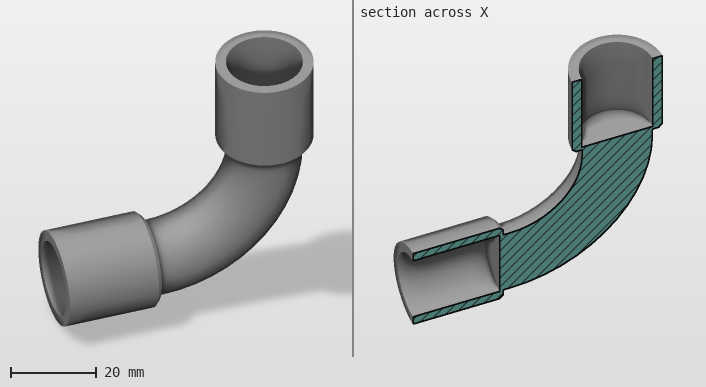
import cadquery as cq

overall_length = 63.3
socket_diameter = 23.0
pipe_diameter = 18.0
socket_length = 23.0
chamfer_size = 1.0
bend_radius = 27.0

bore_depth = socket_length - chamfer_size
mouth_distance = overall_length - socket_diameter / 2
socket_start = mouth_distance - socket_length
stub_length = socket_start - bend_radius


def make_bend():
    """Solid quarter bend joining the -Y leg to the +Z leg."""
    return (
        cq.Workplane("XZ", origin=(0, -bend_radius, 0))
        .circle(pipe_diameter / 2)
        .revolve(90, (-0.65, bend_radius, 0), (0.65, bend_radius, 0))
    )


def make_leg(plane):
    """Short pipe stub and bored socket, running out along the plane normal."""
    stub = (
        cq.Workplane(plane)
        .workplane(offset=bend_radius)
        .circle(pipe_diameter / 2)
        .extrude(stub_length)
    )
    socket = (
        cq.Workplane(plane)
        .workplane(offset=socket_start)
        .circle(socket_diameter / 2)
        .extrude(socket_length)
        .faces(cq.selectors.DirectionMinMaxSelector(cq.Plane.named(plane).zDir, False))
        .chamfer(chamfer_size)
    )
    bore = (
        cq.Workplane(plane)
        .workplane(offset=mouth_distance - bore_depth)
        .circle(pipe_diameter / 2)
        .extrude(bore_depth)
    )
    return stub.union(socket.cut(bore))


result = make_bend()
for leg_plane in ("XY", "XZ"):
    result = result.union(make_leg(leg_plane))